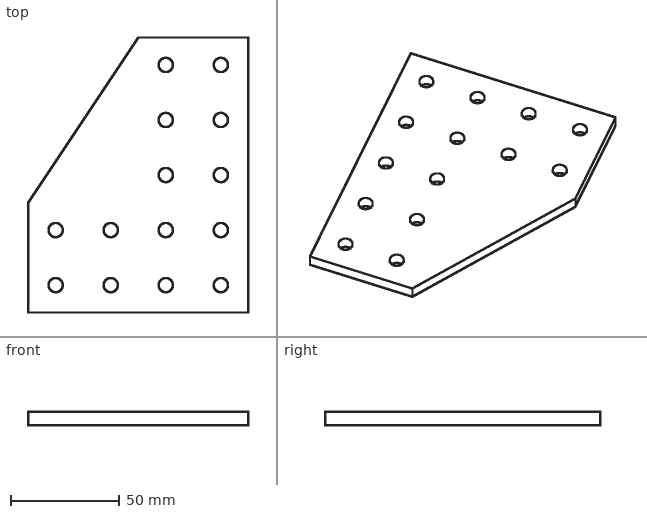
import cadquery as cq

pitch = 25.4
columns = 4
rows = 5
arm_width = 2
thickness = 6.4
hole_diameter = 6.5

width = columns * pitch
length = rows * pitch
arm = arm_width * pitch


def plate():
    """Rectangle with its upper left corner cut off between the two arm ends."""
    outline = [
        (0, 0),
        (width, 0),
        (width, length),
        (width - arm, length),
        (0, arm),
    ]
    return cq.Workplane("XY").polyline(outline).close().extrude(thickness)


def hole_centres():
    """Cell centres in the bottom arm and the right arm."""
    return [
        ((column + 0.5) * pitch, (row + 0.5) * pitch)
        for column in range(columns)
        for row in range(rows)
        if row < arm_width or column >= columns - arm_width
    ]


holes = cq.Workplane("XY").pushPoints(hole_centres()).circle(hole_diameter / 2).extrude(thickness)

result = plate().cut(holes)